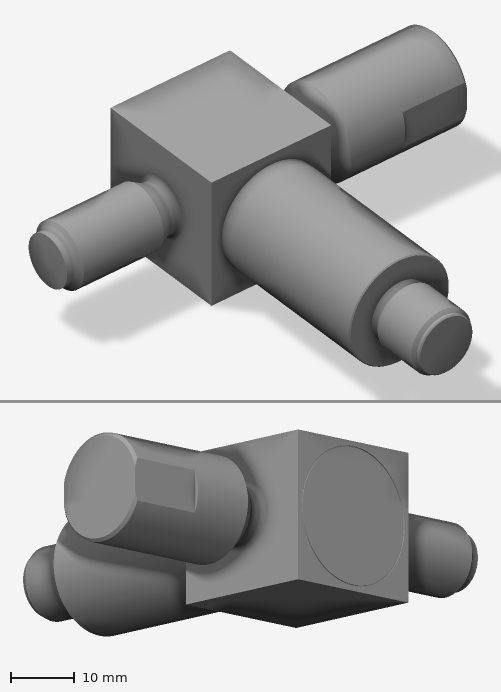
import cadquery as cq
import math


BLOCK_LENGTH = 25.2
BLOCK_SIDE = 24.0
CAP_DIAMETER = 22.4
CAP_GAP = 0.2
CAP_GAP_DEPTH = 0.2

BARREL_DIAMETER = 20.0
BARREL_LENGTH = 32.0
BARREL_CHAMFER = 0.2
SPIGOT_LENGTH = 11.6
PLUG_LENGTH = 23.0
SOCKET_LENGTH = 31.0

THREAD_RADIUS = 6.0

SPIGOT_NECK_RADIUS = 5.6
SPIGOT_GROOVE_RADIUS = 5.45
SPIGOT_GROOVE_START = 0.45
SPIGOT_GROOVE_END = 0.95
SPIGOT_NECK_LENGTH = 1.4
SPIGOT_THREAD_START = 1.95
SPIGOT_TIP_RADIUS = 5.4
SPIGOT_TIP_LENGTH = 0.7
SPIGOT_TIP_CHAMFER = 0.2
SPIGOT_LEAD_IN = 0.6

NECK_RADIUS = 4.7
NECK_FILLET = 0.9

PLUG_NECK_END = 1.7
PLUG_COLLAR_START = 2.15
PLUG_COLLAR_RADIUS = 4.85
PLUG_COLLAR_END = 3.1
PLUG_COLLAR_END_RADIUS = 5.4
PLUG_THREAD_START = 4.25
PLUG_TIP_RADIUS = 4.8
PLUG_TIP_LENGTH = 1.5
PLUG_LEAD_IN = 1.2
PLUG_LEAD_IN_KINK = 0.5
PLUG_KINK_RADIUS = 5.4
PLUG_DOME_HEIGHT = 0.3

SOCKET_RADIUS = 8.7
SOCKET_NECK_END = 1.85
SOCKET_COLLAR_RADIUS = 4.9
SOCKET_CONE_START = 2.55
SOCKET_CONE_END = 7.1
SOCKET_CHAMFER = 0.5
FLAT_SPACING = 16.0
FLAT_LENGTH = 13.0


def make_revolved_arm(profile):
    """Solid of revolution about X, from a profile of (distance along X, radius)."""
    start = profile[0][0]
    end = profile[-1][0]
    outline = [(start, 0)] + profile + [(end, 0)]
    return cq.Workplane("XY").polyline(outline).close().revolve(360, (0, 0, 0), (1, 0, 0))


def make_dome(rim_radius, height):
    """Shallow spherical cap on the YZ plane, rising along +X."""
    sphere_radius = (rim_radius**2 + height**2) / (2 * height)
    half_angle = math.asin(rim_radius / sphere_radius) / 2
    centre_x = height - sphere_radius
    mid_point = (
        centre_x + sphere_radius * math.cos(half_angle),
        sphere_radius * math.sin(half_angle),
    )
    return (
        cq.Workplane("XY")
        .moveTo(height, 0)
        .threePointArc(mid_point, (0, rim_radius))
        .lineTo(0, 0)
        .close()
        .revolve(360, (0, 0, 0), (1, 0, 0))
    )


def make_neck_fillet():
    """Neck root on the YZ plane, with a concave quarter-round running into the block face."""
    arc_centre_radius = NECK_RADIUS + NECK_FILLET
    diagonal_reach = NECK_FILLET * math.cos(math.pi / 4)
    arc_mid_point = (NECK_FILLET - diagonal_reach, arc_centre_radius - diagonal_reach)
    return (
        cq.Workplane("XY")
        .lineTo(0, arc_centre_radius)
        .threePointArc(arc_mid_point, (NECK_FILLET, NECK_RADIUS))
        .lineTo(NECK_FILLET, 0)
        .close()
        .revolve(360, (0, 0, 0), (1, 0, 0))
    )


def make_block():
    """Block with a thin ring gap around the round cap in its -X face."""
    block = cq.Workplane("XY").box(BLOCK_LENGTH, BLOCK_SIDE, BLOCK_SIDE)
    gap = (
        cq.Workplane("YZ", origin=(-BLOCK_LENGTH / 2, 0, 0))
        .circle(CAP_DIAMETER / 2)
        .circle(CAP_DIAMETER / 2 - CAP_GAP)
        .extrude(CAP_GAP_DEPTH)
    )
    return block.cut(gap)


def make_barrel():
    """Plain barrel on the +X face, chamfered at its free end."""
    radius = BARREL_DIAMETER / 2
    barrel = make_revolved_arm([
        (0, radius),
        (BARREL_LENGTH - BARREL_CHAMFER, radius),
        (BARREL_LENGTH, radius - BARREL_CHAMFER),
    ])
    return barrel.translate((BLOCK_LENGTH / 2, 0, 0))


def make_spigot():
    """Short threaded spigot on the end of the barrel."""
    tip_start = SPIGOT_LENGTH - SPIGOT_TIP_LENGTH
    spigot = make_revolved_arm([
        (0, SPIGOT_NECK_RADIUS),
        (SPIGOT_GROOVE_START, SPIGOT_GROOVE_RADIUS),
        (SPIGOT_GROOVE_END, SPIGOT_GROOVE_RADIUS),
        (SPIGOT_NECK_LENGTH, SPIGOT_NECK_RADIUS),
        (SPIGOT_THREAD_START, THREAD_RADIUS),
        (tip_start - SPIGOT_LEAD_IN, THREAD_RADIUS),
        (tip_start, SPIGOT_TIP_RADIUS),
        (SPIGOT_LENGTH - SPIGOT_TIP_CHAMFER, SPIGOT_TIP_RADIUS),
        (SPIGOT_LENGTH, SPIGOT_TIP_RADIUS - SPIGOT_TIP_CHAMFER),
    ])
    return spigot.translate((BLOCK_LENGTH / 2 + BARREL_LENGTH, 0, 0))


def make_plug():
    """Threaded plug on the -Y face, with a two-angle lead-in and a domed tip."""
    tip_start = PLUG_LENGTH - PLUG_TIP_LENGTH
    lead_in_start = tip_start - PLUG_LEAD_IN
    dome_start = PLUG_LENGTH - PLUG_DOME_HEIGHT
    plug = make_revolved_arm([
        (0, NECK_RADIUS),
        (PLUG_NECK_END, NECK_RADIUS),
        (PLUG_COLLAR_START, PLUG_COLLAR_RADIUS),
        (PLUG_COLLAR_END, PLUG_COLLAR_END_RADIUS),
        (PLUG_THREAD_START, THREAD_RADIUS),
        (lead_in_start, THREAD_RADIUS),
        (lead_in_start + PLUG_LEAD_IN_KINK, PLUG_KINK_RADIUS),
        (tip_start, PLUG_TIP_RADIUS),
        (dome_start, PLUG_TIP_RADIUS),
    ])
    dome = make_dome(PLUG_TIP_RADIUS, PLUG_DOME_HEIGHT).translate((dome_start, 0, 0))
    plug = plug.union(dome).union(make_neck_fillet())
    return plug.rotate((0, 0, 0), (0, 0, 1), -90).translate((0, -BLOCK_SIDE / 2, 0))


def make_socket():
    """Socket nut on the +Y face, with two wrench flats facing -X and +X."""
    socket = make_revolved_arm([
        (0, NECK_RADIUS),
        (SOCKET_NECK_END, NECK_RADIUS),
        (SOCKET_CONE_START, SOCKET_COLLAR_RADIUS),
        (SOCKET_CONE_END, SOCKET_RADIUS),
        (SOCKET_LENGTH - SOCKET_CHAMFER, SOCKET_RADIUS),
        (SOCKET_LENGTH, SOCKET_RADIUS - SOCKET_CHAMFER),
    ])
    socket = socket.union(make_neck_fillet())
    cutter_width = SOCKET_RADIUS
    cutter_height = 2 * SOCKET_RADIUS
    cutter_offset = (FLAT_SPACING + cutter_width) / 2
    for side in (-1, 1):
        cutter = cq.Workplane("XY").box(FLAT_LENGTH, cutter_width, cutter_height)
        cutter_centre = (SOCKET_LENGTH - FLAT_LENGTH / 2, side * cutter_offset, 0)
        socket = socket.cut(cutter.translate(cutter_centre))
    return socket.rotate((0, 0, 0), (0, 0, 1), 90).translate((0, BLOCK_SIDE / 2, 0))


result = (
    make_block()
    .union(make_barrel())
    .union(make_spigot())
    .union(make_plug())
    .union(make_socket())
)